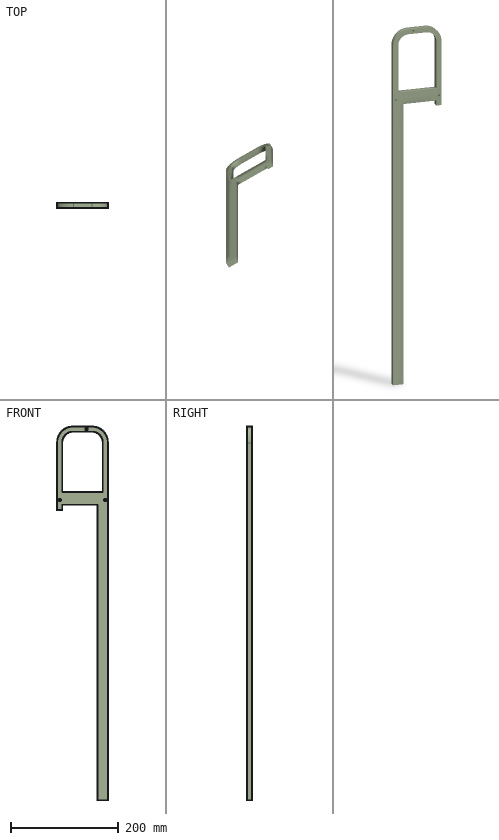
import cadquery as cq

width = 95.0
height = 696.0
thickness = 10.0

rim = 10.0
outer_radius = 30.0
inner_radius = outer_radius - rim
window_depth = 122.0
crossbar_height = 24.0
tab_length = 10.0
post_width = 20.0

hole_diameter = 4.2
side_hole_inset = rim / 2
side_hole_depth = 137.0
top_hole_x = 55.0
top_hole_depth = rim / 2

crossbar_top = height - window_depth
crossbar_bottom = crossbar_top - crossbar_height
tab_bottom = crossbar_bottom - tab_length


def block(x_min, x_max, z_min, z_max):
    """Full-thickness rectangular block between two corners in XZ."""
    return cq.Workplane("XY").box(
        x_max - x_min, thickness, z_max - z_min, centered=False
    ).translate((x_min, 0, z_min))


def make_body():
    """Frame outline with rounded top corners, narrowing to one post and a hook tab."""
    plate = block(0, width, 0, height)
    plate = plate.edges("|Y and >Z").fillet(outer_radius)
    post_left = width - post_width
    beside_post = block(rim, post_left, 0, crossbar_bottom)
    below_tab = block(0, rim, 0, tab_bottom)
    return plate.cut(beside_post).cut(below_tab)


def make_window():
    """Hand opening, concentric with the rounded top corners."""
    window = block(rim, width - rim, crossbar_top, height - rim)
    return window.edges("|Y and >Z").fillet(inner_radius)


def make_hole(x, z):
    """Cylinder for a round hole through the full thickness at (x, z)."""
    return (
        cq.Workplane("XZ", origin=(x, 0, z))
        .circle(hole_diameter / 2)
        .extrude(-thickness)
    )


hole_centers = [
    (side_hole_inset, height - side_hole_depth),
    (width - side_hole_inset, height - side_hole_depth),
    (top_hole_x, height - top_hole_depth),
]

result = make_body().cut(make_window())
for hole_x, hole_z in hole_centers:
    result = result.cut(make_hole(hole_x, hole_z))